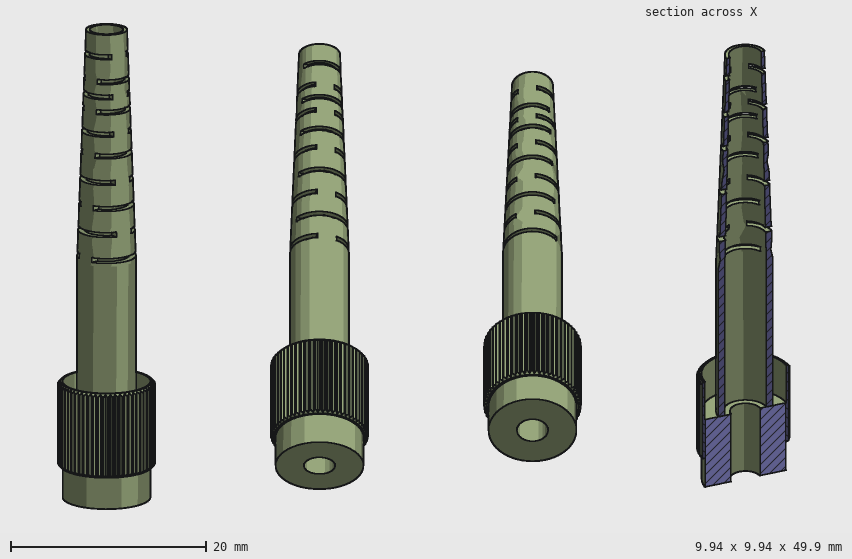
import cadquery as cq
import math

core_diameter = 9.0
core_height = 7.95
core_bore_diameter = 3.2

sleeve_bottom = 3.4
sleeve_top = 12.35
sleeve_diameter = 9.95
sleeve_chamfer = 0.3
groove_count = 60
groove_depth = 0.2
groove_width = 0.4

boot_top = 49.85
shoulder_height = 25.4
tube_diameter = 6.1
tube_bore_diameter = 4.6
tip_diameter = 4.25
tip_bore_diameter = 3.45

slot_height = 0.5
web_width = 2.0
first_slot_height = 26.0
slot_spacings = [2.75, 2.75, 2.75, 2.8, 2.3, 2.35, 1.6, 1.6, 2.65]


def make_core():
    """Cylinder with a through bore."""
    return (
        cq.Workplane("XY")
        .circle(core_diameter / 2)
        .circle(core_bore_diameter / 2)
        .extrude(core_height)
    )


def make_sleeve():
    """Ring with chamfered ends and straight V grooves all round its outside."""
    height = sleeve_top - sleeve_bottom
    outer_radius = sleeve_diameter / 2
    root_radius = outer_radius - groove_depth
    half_angle = math.asin(groove_width / 2 / outer_radius)
    pitch_angle = 2 * math.pi / groove_count

    outline = []
    for index in range(groove_count):
        middle = index * pitch_angle
        for radius, angle in (
            (outer_radius, middle - half_angle),
            (root_radius, middle),
            (outer_radius, middle + half_angle),
        ):
            outline.append((radius * math.cos(angle), radius * math.sin(angle)))

    base = cq.Workplane("XY").workplane(offset=sleeve_bottom)
    knurl = base.polyline(outline).close().extrude(height)
    envelope = base.circle(outer_radius).extrude(height).faces("<Z or >Z").chamfer(sleeve_chamfer)
    bore = base.circle(core_diameter / 2).extrude(height)
    return knurl.intersect(envelope).cut(bore)


def make_slot_pair(height, along_x):
    """Two cutters at one level, one on each side of the webs that stay standing."""
    reach = tube_diameter
    offset = (web_width + reach) / 2
    size = (reach, 2 * reach) if along_x else (2 * reach, reach)
    places = [(-offset, 0), (offset, 0)] if along_x else [(0, -offset), (0, offset)]
    return (
        cq.Workplane("XY")
        .workplane(offset=height - slot_height / 2)
        .pushPoints(places)
        .rect(*size)
        .extrude(slot_height)
    )


def make_boot():
    """Tube standing on the core, tapering to the tip, with crosswise slot pairs."""
    profile = [
        (tube_bore_diameter / 2, core_height),
        (tube_diameter / 2, core_height),
        (tube_diameter / 2, shoulder_height),
        (tip_diameter / 2, boot_top),
        (tip_bore_diameter / 2, boot_top),
        (tube_bore_diameter / 2, shoulder_height),
    ]
    boot = cq.Workplane("XZ").polyline(profile).close().revolve(360, (0, 0), (0, 1))
    height = first_slot_height
    along_x = True
    for spacing in [0] + slot_spacings:
        height += spacing
        boot = boot.cut(make_slot_pair(height, along_x))
        along_x = not along_x
    return boot


core = make_core()
sleeve = make_sleeve()
boot = make_boot()

result = cq.Compound.makeCompound([core.val(), sleeve.val(), boot.val()])